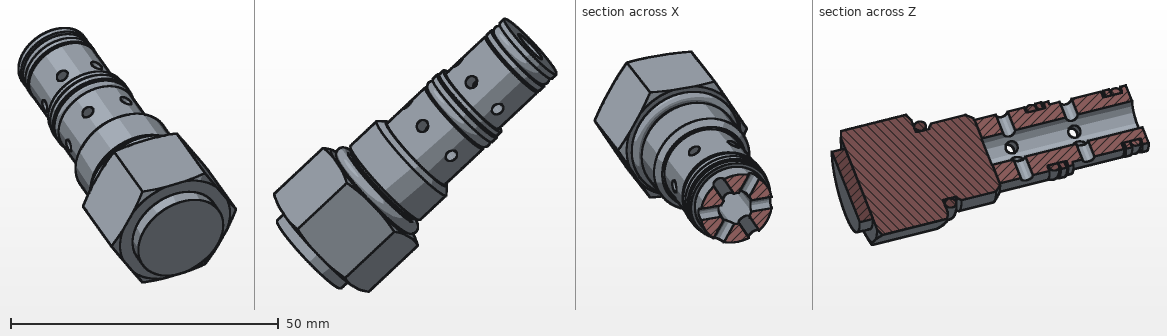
import cadquery as cq
import math


sleeve_end = 29.5
hex_start = 40.7
hex_end = 54.6
overall_length = 57.15

bore_diameter = 6.4
nose_diameter = 14.3
rear_diameter = 15.8
front_groove_start = 1.2
front_groove_end = 4.85
front_groove_diameter = 11.45
collar_start = 15.0
rear_groove_start = 16.0
rear_groove_end = 19.65
rear_groove_diameter = 13.2
cross_hole_diameter = 2.3
cross_hole_count = 6
cross_hole_stations = (11.85, 24.1)

sleeve_cord_diameter = 1.95
backup_width = 1.2
front_backup_start = 3.25
front_backup_diameter = 14.4
front_seal_mean_diameter = 12.3
rear_backup_start = 16.35
rear_backup_diameter = 16.25
rear_seal_mean_diameter = 14.3

spigot_diameter = 19.05
undercut_diameter = 16.8
lead_bevel_length = 1.2
lead_face_diameter = 16.7
rear_bevel_start = 37.45
rear_bevel_end = 38.1
rear_bevel_diameter = 17.45
hex_across_flats = 22.25
hex_face_diameter = 22.65
hex_chamfer_length = 0.6

body_cord_diameter = 2.25

plug_diameter = 17.5


def revolve_profile(points):
    """Solid of revolution about X from a closed outline of (x, diameter) points."""
    outline = [(x, diameter / 2) for x, diameter in points]
    return cq.Workplane("XY").polyline(outline).close().revolve(360, (0, 0, 0), (1, 0, 0))


def cylinder(start, end, diameter):
    """Cylinder on the X axis between two stations."""
    return cq.Workplane("YZ", origin=(start, 0, 0)).circle(diameter / 2).extrude(end - start)


def make_sleeve():
    sleeve = revolve_profile([
        (0, bore_diameter),
        (0, nose_diameter),
        (front_groove_start, nose_diameter),
        (front_groove_start, front_groove_diameter),
        (front_groove_end, front_groove_diameter),
        (front_groove_end, nose_diameter),
        (collar_start, nose_diameter),
        (collar_start, rear_diameter),
        (rear_groove_start, rear_diameter),
        (rear_groove_start, rear_groove_diameter),
        (rear_groove_end, rear_groove_diameter),
        (rear_groove_end, rear_diameter),
        (sleeve_end, rear_diameter),
        (sleeve_end, bore_diameter),
    ])
    for station in cross_hole_stations:
        sleeve = sleeve.cut(make_cross_holes(station))
    return sleeve


def make_cross_holes(station):
    """Drills for one row of radial holes, the first pointing along Y."""
    drill = (
        cq.Workplane("XZ", origin=(station, 0, 0))
        .circle(cross_hole_diameter / 2)
        .extrude(rear_diameter)
    )
    pitch_angle = 360 / cross_hole_count
    drills = cq.Workplane("XY")
    for index in range(cross_hole_count):
        drills = drills.add(drill.rotate((0, 0, 0), (1, 0, 0), index * pitch_angle))
    return drills.combine()


def make_sleeve_o_ring(center_station, mean_diameter, seat_diameter):
    """Round-cord ring, pressed flat on the inside where it meets the groove floor."""
    cord_radius = sleeve_cord_diameter / 2
    mean_radius = mean_diameter / 2
    seat_radius = seat_diameter / 2
    half_foot = math.sqrt(cord_radius**2 - (mean_radius - seat_radius) ** 2)
    return (
        cq.Workplane("XY")
        .moveTo(center_station - half_foot, seat_radius)
        .threePointArc(
            (center_station, mean_radius + cord_radius),
            (center_station + half_foot, seat_radius),
        )
        .close()
        .revolve(360, (0, 0, 0), (1, 0, 0))
    )


def make_body_o_ring():
    """Round ring that just touches the undercut inside it and the hexagon behind it."""
    cord_radius = body_cord_diameter / 2
    center = cq.Vector(hex_start - cord_radius, 0, 0)
    mean_radius = undercut_diameter / 2 + cord_radius
    return cq.Workplane(cq.Solid.makeTorus(mean_radius, cord_radius, center, cq.Vector(1, 0, 0)))


def make_backup_ring(start, outer_diameter, seat_diameter):
    end = start + backup_width
    return cylinder(start, end, outer_diameter).cut(cylinder(start, end, seat_diameter))


def make_hexagon():
    """Hexagon head with flats facing +Z and -Z, its corners turned off at both ends."""
    across_corners = hex_across_flats / math.cos(math.pi / 6)
    prism = (
        cq.Workplane("YZ", origin=(hex_start, 0, 0))
        .polygon(6, across_corners)
        .extrude(hex_end - hex_start)
    )
    turned_envelope = revolve_profile([
        (hex_start, 0),
        (hex_start, hex_face_diameter),
        (hex_start + hex_chamfer_length, across_corners),
        (hex_end - hex_chamfer_length, across_corners),
        (hex_end, hex_face_diameter),
        (hex_end, 0),
    ])
    return prism.intersect(turned_envelope)


def make_body():
    spigot = revolve_profile([
        (sleeve_end, 0),
        (sleeve_end, lead_face_diameter),
        (sleeve_end + lead_bevel_length, spigot_diameter),
        (rear_bevel_start, spigot_diameter),
        (rear_bevel_end, rear_bevel_diameter),
        (rear_bevel_end, undercut_diameter),
        (hex_start, undercut_diameter),
        (hex_start, 0),
    ])
    return spigot.union(make_hexagon())


def make_plug():
    return cylinder(hex_end, overall_length, plug_diameter)


front_o_ring_station = front_backup_start - sleeve_cord_diameter / 2
rear_o_ring_station = rear_backup_start + backup_width + sleeve_cord_diameter / 2

sleeve_o_ring_sizes = [
    (front_o_ring_station, front_seal_mean_diameter, front_groove_diameter),
    (rear_o_ring_station, rear_seal_mean_diameter, rear_groove_diameter),
]
backup_ring_sizes = [
    (front_backup_start, front_backup_diameter, front_groove_diameter),
    (rear_backup_start, rear_backup_diameter, rear_groove_diameter),
]

sleeve = make_sleeve()
body = make_body()
plug = make_plug()
sleeve_o_rings = [make_sleeve_o_ring(*sizes).val() for sizes in sleeve_o_ring_sizes]
body_o_ring = make_body_o_ring()
backup_rings = [make_backup_ring(*sizes).val() for sizes in backup_ring_sizes]

result = cq.Compound.makeCompound([
    sleeve.val(),
    body.val(),
    plug.val(),
    *sleeve_o_rings,
    body_o_ring.val(),
    *backup_rings,
])